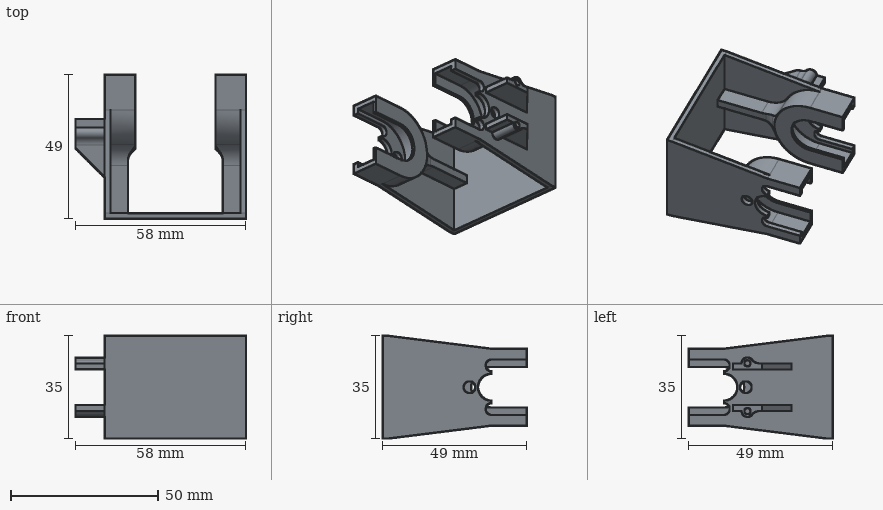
import cadquery as cq
import math


overall_width = 58
body_width = 48.0
body_depth = 49.0
body_height = 35.0
plate = 2.0

arm_length = 12.0
bore_y = body_depth - arm_length
holder_radius = 13.1
pocket_radius = 11.15
lip_radius = 6.85
pocket_width = 7.5
lip_width = 1.0
holder_width = pocket_width + lip_width

slot_radius = 2.0
slot_z = 7.4
shaft_radius = 4.5
push_hole_radius = 2.0
push_hole_y = bore_y - 7.5

web_height = 3.0
web_width = 6.0
web_fillet = 8.0
neck_angle = math.pi / 4
neck_fillet = 4.0

lug_length = overall_width - body_width
lug_inner_z = 6.05
lug_thickness = 2.1
lug_front_y = 34.0
lug_tip_y = 24.0
lug_root_y = lug_tip_y - lug_length
pin_y = 29
pin_z = lug_inner_z + lug_thickness
pin_radius = 1.05
boss_radius = 2.0
boss_fillet = 3.0

wall_x = -body_width / 2
holder_x = wall_x + plate


def side_sketch(x):
    """Workplane at x whose local axes are Y and Z, extruding towards +X."""
    return cq.Workplane("YZ", origin=(x, 0, 0))


def tangent_fillet(round_y, round_z, round_radius, flat_z, fillet_radius):
    """Start, middle and end (y, z) of the fillet from a flat at flat_z up onto a round in front of it."""
    centre_z = flat_z + fillet_radius
    reach = round_radius + fillet_radius
    rise = centre_z - round_z
    run = math.sqrt(reach**2 - rise**2)
    centre_y = round_y - run
    half_angle = math.atan2(run, rise) / 2
    start = (centre_y, flat_z)
    middle = (
        centre_y + fillet_radius * math.sin(half_angle),
        centre_z - fillet_radius * math.cos(half_angle),
    )
    end = (
        round_y - run * round_radius / reach,
        round_z + rise * round_radius / reach,
    )
    return start, middle, end


def open_slot(x, radius, width):
    """U-shaped volume around the bore axis, open at the front."""
    return (
        side_sketch(x)
        .moveTo(body_depth, radius)
        .lineTo(bore_y, radius)
        .threePointArc((bore_y - radius, 0), (bore_y, -radius))
        .lineTo(body_depth, -radius)
        .close()
        .extrude(width)
    )


def side_wall():
    """Tapered wall with the front opening, its round corners, a shaft bite and the push-out hole."""
    wall = (
        side_sketch(wall_x)
        .moveTo(0, -body_height / 2)
        .lineTo(plate, -body_height / 2)
        .lineTo(bore_y, -holder_radius)
        .lineTo(body_depth, -holder_radius)
        .lineTo(body_depth, holder_radius)
        .lineTo(bore_y, holder_radius)
        .lineTo(plate, body_height / 2)
        .lineTo(0, body_height / 2)
        .close()
        .extrude(plate)
    )
    opening = (
        side_sketch(wall_x)
        .center(bore_y + arm_length / 2, 0)
        .rect(arm_length, 2 * (slot_z + slot_radius))
        .extrude(plate)
    )
    corners = (
        side_sketch(wall_x)
        .pushPoints([(bore_y, slot_z), (bore_y, -slot_z)])
        .circle(slot_radius)
        .extrude(plate)
    )
    shaft_bite = side_sketch(wall_x).center(bore_y, 0).circle(shaft_radius).extrude(plate)
    push_hole = side_sketch(wall_x).center(push_hole_y, 0).circle(push_hole_radius).extrude(plate)
    return wall.cut(opening).cut(corners).cut(shaft_bite).cut(push_hole)


def web():
    """Web that flares tangentially into the holder in height and widens along a sloping neck."""
    start, middle, touch = tangent_fillet(bore_y, 0, holder_radius, web_height / 2, web_fillet)
    upper_half = (
        side_sketch(holder_x)
        .moveTo(plate, 0)
        .lineTo(plate, web_height / 2)
        .lineTo(*start)
        .threePointArc(middle, touch)
        .lineTo(bore_y, 0)
        .close()
        .extrude(holder_width)
    )
    profile = upper_half.union(upper_half.mirror("XY"))

    web_x = holder_x + web_width
    lip_x = holder_x + holder_width
    neck_y = bore_y - holder_radius
    slope_run = holder_width - web_width
    corner_y = neck_y - slope_run
    tangent = neck_fillet * math.tan(neck_angle / 2)
    slope_step = tangent * math.cos(neck_angle)
    arc_end_y = corner_y - tangent
    arc_mid = (
        web_x + neck_fillet * (1 - math.cos(neck_angle / 2)),
        arc_end_y + neck_fillet * math.sin(neck_angle / 2),
    )
    neck = (
        cq.Workplane("XY")
        .moveTo(holder_x, 0)
        .lineTo(web_x, 0)
        .lineTo(web_x, arc_end_y)
        .threePointArc(arc_mid, (web_x + slope_step, corner_y + slope_step))
        .lineTo(lip_x, neck_y)
        .lineTo(lip_x, bore_y)
        .lineTo(holder_x, bore_y)
        .close()
        .revolve(360, (holder_x, bore_y, 0), (lip_x, bore_y, 0))
    )
    return profile.intersect(neck)


def bearing_holder():
    """C-shaped holder and its web, with the bearing pocket behind a retaining lip."""
    holder = open_slot(holder_x, holder_radius, holder_width).union(web())
    pocket = open_slot(holder_x, pocket_radius, pocket_width)
    lip_opening = open_slot(holder_x, lip_radius, holder_width)
    return holder.cut(pocket).cut(lip_opening)


def hinge_lug():
    """Upper lug: a plate with a slanted rear edge and a filleted pin boss on top."""
    lug_x = wall_x - lug_length
    plate_part = (
        cq.Workplane("XY", origin=(0, 0, lug_inner_z))
        .moveTo(wall_x, lug_root_y)
        .lineTo(lug_x, lug_tip_y)
        .lineTo(lug_x, lug_front_y)
        .lineTo(wall_x, lug_front_y)
        .close()
        .extrude(lug_thickness)
    )
    start, middle, touch = tangent_fillet(pin_y, pin_z, boss_radius, pin_z, boss_fillet)
    boss = (
        side_sketch(lug_x)
        .moveTo(*start)
        .threePointArc(middle, touch)
        .threePointArc((pin_y, pin_z + boss_radius), (pin_y + boss_radius, pin_z))
        .lineTo(pin_y + boss_radius, lug_inner_z)
        .lineTo(start[0], lug_inner_z)
        .close()
        .extrude(lug_length)
    )
    pin_hole = side_sketch(lug_x).center(pin_y, pin_z).circle(pin_radius).extrude(lug_length)
    return plate_part.union(boss).cut(pin_hole)


back_plate = cq.Workplane("XY").box(body_width, plate, body_height).translate((0, plate / 2, 0))
left_side = side_wall().union(bearing_holder())
right_side = left_side.mirror("YZ")
upper_lug = hinge_lug()
lower_lug = upper_lug.mirror("XY")

result = back_plate.union(left_side).union(right_side).union(upper_lug).union(lower_lug)